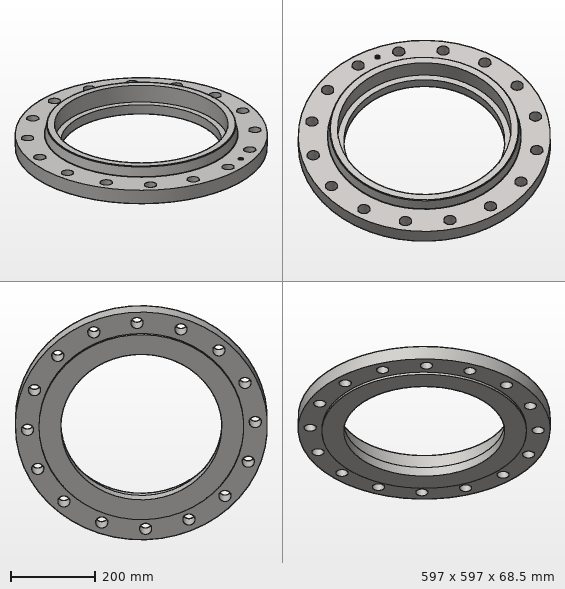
import cadquery as cq

raised_face_height = 6.5
plate_thickness = 36.0
total_height = 68.5
ledge_height = 24.5
plate_top = raised_face_height + plate_thickness

plate_diameter = 597
raised_face_diameter = 484.5
hub_base_diameter = 457.0
hub_top_diameter = 448.0
bore_diameter = 381.0
socket_diameter = 410.5
hub_edge_chamfer = 2.0
hub_foot_bevel = 0.9

bolt_count = 16
bolt_circle_diameter = 539.5
bolt_hole_diameter = 28.5
bolt_spacing_angle = 360 / bolt_count

recess_step_diameters = [12.5, 8.5, 3.5]
recess_step_depth = 0.5
recess_angle = bolt_spacing_angle / 2


def ring_body():
    """Turned flange: raised face, plate, tapered hub and stepped bore."""
    hub_base_radius = hub_base_diameter / 2
    hub_top_radius = hub_top_diameter / 2
    half_profile = [
        (bore_diameter / 2, 0),
        (raised_face_diameter / 2, 0),
        (raised_face_diameter / 2, raised_face_height),
        (plate_diameter / 2, raised_face_height),
        (plate_diameter / 2, plate_top),
        (hub_base_radius + hub_foot_bevel, plate_top),
        (hub_base_radius, plate_top + hub_foot_bevel),
        (hub_top_radius, total_height - hub_edge_chamfer),
        (hub_top_radius - hub_edge_chamfer, total_height),
        (socket_diameter / 2, total_height),
        (socket_diameter / 2, ledge_height),
        (bore_diameter / 2, ledge_height),
    ]
    return cq.Workplane("XZ").polyline(half_profile).close().revolve(360, (0, 0), (0, 1))


def hole_cutters(diameter, depth, start_angle=0, count=1):
    """Cylinders reaching down from the plate top, evenly spaced on the bolt circle."""
    return (
        cq.Workplane("XY", origin=(0, 0, plate_top))
        .polarArray(bolt_circle_diameter / 2, start_angle, 360, count)
        .circle(diameter / 2)
        .extrude(-depth)
    )


result = ring_body()
result = result.cut(hole_cutters(bolt_hole_diameter, plate_thickness, count=bolt_count))

for step_number, step_diameter in enumerate(recess_step_diameters, start=1):
    step_cutter = hole_cutters(step_diameter, step_number * recess_step_depth, recess_angle)
    result = result.cut(step_cutter)